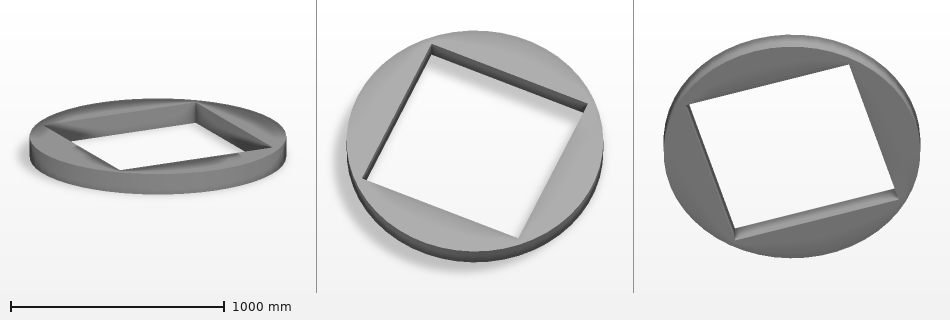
import cadquery as cq

outer_diameter = 1200.0
opening_side = outer_diameter * 2 / 3
thickness = outer_diameter / 12

disc = cq.Workplane("XY").circle(outer_diameter / 2).extrude(thickness)

opening = cq.Workplane("XY").rect(opening_side, opening_side).extrude(thickness)

result = disc.cut(opening)